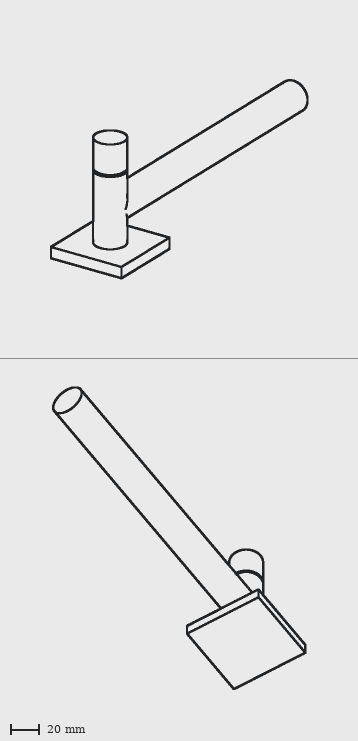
import cadquery as cq

total_length = 258.5
total_height = 89.7

plate_side = 60.0
plate_thickness = 8.8

tube_diameter = 24.0
tube_radius = tube_diameter / 2
arm_axis_height = 35.0
arm_length = total_length - plate_side / 2

knob_height = 23.5
gap_height = 1.5
neck_diameter = 20.0
post_top = total_height - knob_height - gap_height


def make_holder():
    """Base plate, upright post and horizontal arm as one solid."""
    plate = cq.Workplane("XY").box(plate_side, plate_side, plate_thickness, centered=(True, True, False))
    post = (
        cq.Workplane("XY")
        .workplane(offset=plate_thickness)
        .circle(tube_radius)
        .extrude(post_top - plate_thickness)
    )
    arm = cq.Workplane("XZ").center(0, arm_axis_height).circle(tube_radius).extrude(-arm_length)
    return plate.union(post).union(arm)


def make_knob():
    """Round knob whose neck stands on the flat top of the post."""
    neck = cq.Workplane("XY").workplane(offset=post_top).circle(neck_diameter / 2).extrude(gap_height)
    return neck.faces(">Z").workplane().circle(tube_radius).extrude(knob_height)


holder = make_holder()
knob = make_knob()

result = cq.Compound.makeCompound([holder.val(), knob.val()])